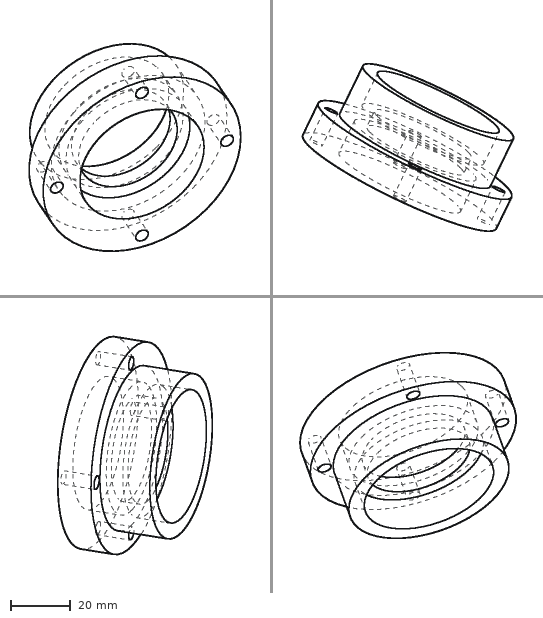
import cadquery as cq

flange_diameter = 72.0
flange_thickness = 12.0
total_length = 30.0
hub_diameter = 56.0
hub_length = total_length - flange_thickness

seat_diameter = 45.2
seat_depth = 12.0
bore_diameter = 36.0

bolt_hole_diameter = 4.5
bolt_circle_diameter = 62.0
bolt_hole_count = 4


def cylinder_along_x(diameter, start, length):
    """Solid cylinder on the X axis, growing toward +X from start."""
    return cq.Workplane("YZ", origin=(start, 0, 0)).circle(diameter / 2).extrude(length)


def bolt_holes():
    """Equally spaced cutters running through the flange."""
    return (
        cq.Workplane("YZ", origin=(hub_length, 0, 0))
        .polarArray(bolt_circle_diameter / 2, 0, 360, bolt_hole_count)
        .circle(bolt_hole_diameter / 2)
        .extrude(flange_thickness)
    )


hub = cylinder_along_x(hub_diameter, 0, hub_length)
flange = cylinder_along_x(flange_diameter, hub_length, flange_thickness)
hub_seat = cylinder_along_x(seat_diameter, 0, seat_depth)
flange_seat = cylinder_along_x(seat_diameter, total_length - seat_depth, seat_depth)
bore = cylinder_along_x(bore_diameter, 0, total_length)

result = hub.union(flange).cut(hub_seat).cut(flange_seat).cut(bore).cut(bolt_holes())